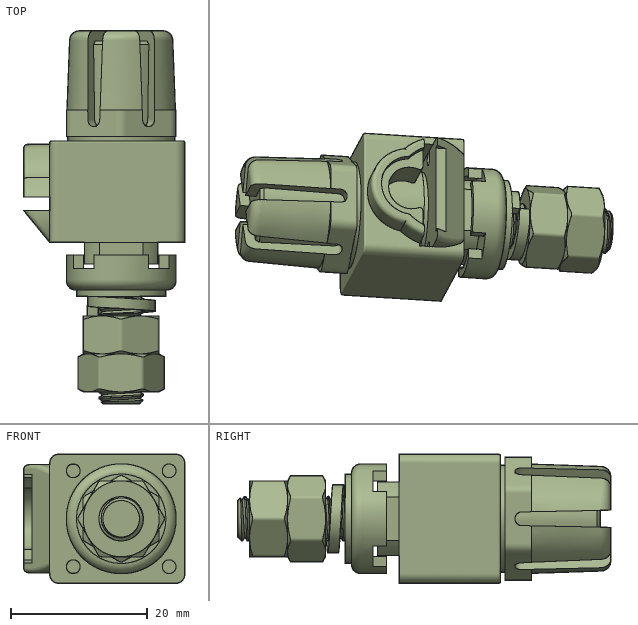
import cadquery as cq
import math


block_right = 9.3
block_left = -10.45
block_height = 18.9
block_length = 14.82
block_corner_radius = 1.35
block_front_fillet = 0.3
pin_hole_diameter = 2.0
pin_hole_offset = 7.0
pin_hole_depth = 6.0

spigot_diameter = 12.5
spigot_across_flats = 10.74
spigot_length = 3.15

guard_reach = 3.8
guard_left = block_left - guard_reach
hump_radius = 5.9
hump_y = 8.47
shoulder_radius = 7.95
shoulder_y = 4.05
guard_edge_fillet = 0.65
rim_width = 1.4
rim_recess_depth = 1.2
wedge_tip_y = 4.67
wedge_notch_height = 12.9
wire_slot_top_y = 6.62
wire_slot_height = 15.9
wire_hole_diameter = 6.45
wire_lip_fillet = 0.45

flange_bottom_y = 15.45
flange_top_y = 19.35
flange_across_flats = 16.0
flange_corner_radius = 1.55
cap_top_y = 30.93
cap_base_radius = 8.0
cap_top_radius = 7.6
cap_edge_fillet = 1.45
core_radius = 6.1
core_top_y = 29.4
core_chamfer = 0.5
grip_slot_count = 6
grip_slot_end_y = 16.93
grip_slot_end_radius = 1.0
grip_slot_mouth_width = 2.5
barrel_radius = 7.83
barrel_end_y = 5.44
neck_radius = 6.93

ring_front_y = -1.83
ring_rear_y = -6.98
ring_radius = 8.03
ring_rear_fillet = 1.43
ring_bore_radius = 6.8
ring_bore_end_y = -3.8
key_notch_offset = 4.0
washer_radius = 6.53
washer_thickness = 0.9
spring_outer_radius = 5.0
spring_inner_radius = 3.4
spring_thickness = 1.55
spring_height = 2.85
spring_split_z = 0.75
spring_end_overlap = 0.1
nut_across_flats = 11.1
nut_corner_radius = 0.6
nut_length = 5.55
nut_chamfer_angle = 30.0

stud_radius = 3.24
stud_tip_radius = 2.67
stud_rear_y = -23.57
thread_pitch = 0.9
thread_depth = 0.55
thread_overcut = 0.05
thread_groove_width = 0.75

washer_rear_y = ring_rear_y - washer_thickness
inner_nut_front_y = washer_rear_y - spring_height
outer_nut_front_y = inner_nut_front_y - nut_length
outer_nut_rear_y = outer_nut_front_y - nut_length


def y_cylinder(radius, y_start, y_end):
    """Cylinder on the post axis between two Y levels."""
    low = min(y_start, y_end)
    return cq.Workplane("XZ", origin=(0, low, 0)).circle(radius).extrude(-abs(y_end - y_start))


def y_hexagon(across_flats, corner_radius, y_low, length, corner_angle):
    """Hexagonal prism on the post axis, with rounded corners and one corner at corner_angle from X."""
    corner_diameter = across_flats / math.cos(math.pi / 6)
    return (
        cq.Workplane("XZ", origin=(0, y_low, 0))
        .transformed(rotate=(0, 0, corner_angle))
        .polygon(6, corner_diameter)
        .extrude(-length)
        .edges("|Y")
        .fillet(corner_radius)
    )


def box_between(x_limits, y_limits, z_limits):
    """Axis-aligned box given by its low and high limits."""
    size = [high - low for low, high in (x_limits, y_limits, z_limits)]
    corner = cq.Vector(x_limits[0], y_limits[0], z_limits[0])
    return cq.Workplane(cq.Solid.makeBox(*size, corner))


def x_cylinder(radius, y, x_start, length):
    """Cylinder parallel to X at height z = 0."""
    return cq.Workplane("YZ", origin=(x_start, y, 0)).circle(radius).extrude(length)


def make_block():
    width = block_right - block_left
    center_x = (block_right + block_left) / 2
    block = (
        cq.Workplane("XZ", origin=(center_x, 0, 0))
        .rect(width, block_height)
        .extrude(-block_length)
        .edges("|Y")
        .fillet(block_corner_radius)
        .faces(">Y")
        .edges()
        .fillet(block_front_fillet)
    )
    pin_holes = (
        cq.Workplane("XZ")
        .rect(2 * pin_hole_offset, 2 * pin_hole_offset, forConstruction=True)
        .vertices()
        .circle(pin_hole_diameter / 2)
        .extrude(-pin_hole_depth)
    )
    return block.cut(pin_holes)


def make_spigot():
    square = cq.Workplane("XZ").rect(spigot_across_flats, spigot_across_flats).extrude(spigot_length)
    return square.intersect(y_cylinder(spigot_diameter / 2, -spigot_length, 0))


def guard_disc(radius, y, length):
    """Disc facing left, with its outer face at the left end of the guard."""
    return x_cylinder(radius, y, guard_left, length)


def make_rim():
    """Part of the guard above the wire slot: hump and shoulder discs with a shared sunken face."""
    discs = [(hump_radius, hump_y), (shoulder_radius, shoulder_y)]
    rim = cq.Workplane()
    recess = cq.Workplane()
    for radius, y in discs:
        rim = rim.add(guard_disc(radius, y, guard_reach).faces("<X").edges().fillet(guard_edge_fillet))
        recess = recess.add(guard_disc(radius - rim_width, y, rim_recess_depth))
    above_slot = box_between(
        (guard_left, block_left), (wire_slot_top_y, block_length), (-shoulder_radius, shoulder_radius)
    )
    return rim.combine().intersect(above_slot).cut(recess.combine())


def make_wedge():
    """Shoulder disc behind the wire slot, cut off by a slope from its tip to the rear of the block."""
    slope_angle = math.atan2(guard_reach, wedge_tip_y)
    slope_direction = cq.Vector(-math.cos(slope_angle), -math.sin(slope_angle), 0)
    disc = x_cylinder(shoulder_radius, shoulder_y, guard_left - shoulder_radius, 4 * shoulder_radius)
    slope_cut = (
        cq.Workplane("XY")
        .transformed(offset=(block_left, 0, 0), rotate=(0, 0, 90 + math.degrees(slope_angle)))
        .center(0, 2 * shoulder_radius)
        .rect(8 * shoulder_radius, 4 * shoulder_radius)
        .extrude(shoulder_radius, both=True)
    )
    slope_face = cq.selectors.DirectionMinMaxSelector(slope_direction, True)
    wedge = disc.cut(slope_cut).faces(slope_face).edges().fillet(guard_edge_fillet)
    behind_slot = box_between(
        (guard_left, block_left), (0, wedge_tip_y), (-shoulder_radius, shoulder_radius)
    )
    notch = box_between(
        (guard_left, guard_left + rim_recess_depth),
        (0, wedge_tip_y),
        (-wedge_notch_height / 2, wedge_notch_height / 2),
    )
    return wedge.intersect(behind_slot).cut(notch)


def make_housing():
    housing = make_block().union(make_spigot()).union(make_rim()).union(make_wedge())
    wire_slot = box_between(
        (guard_left, 0), (wedge_tip_y, wire_slot_top_y), (-wire_slot_height / 2, wire_slot_height / 2)
    )
    wire_hole = x_cylinder(wire_hole_diameter / 2, hump_y, guard_left, -guard_left)
    housing = housing.cut(wire_slot).cut(wire_hole)
    lip_box = cq.selectors.BoxSelector(
        (guard_left, wire_slot_top_y - wire_lip_fillet, -wire_hole_diameter / 2),
        (0, wire_slot_top_y + wire_lip_fillet, wire_hole_diameter / 2),
    )
    housing = housing.edges("|X").edges(lip_box).fillet(wire_lip_fillet)
    housing = housing.cut(y_cylinder(barrel_radius, barrel_end_y, block_length))
    housing = housing.cut(y_cylinder(neck_radius, wedge_tip_y, barrel_end_y))
    return housing.cut(y_cylinder(stud_radius, -spigot_length, wedge_tip_y))


def make_grip_slots():
    """Six tapered slots with round ends, reaching in as far as the chamfered core."""
    reach = 2 * cap_base_radius
    round_center_y = grip_slot_end_y + grip_slot_end_radius
    slot = (
        cq.Workplane("YZ")
        .moveTo(cap_top_y, grip_slot_mouth_width / 2)
        .lineTo(round_center_y, grip_slot_end_radius)
        .threePointArc((grip_slot_end_y, 0), (round_center_y, -grip_slot_end_radius))
        .lineTo(cap_top_y, -grip_slot_mouth_width / 2)
        .close()
        .extrude(reach)
    )
    slots = cq.Workplane()
    for index in range(grip_slot_count):
        slots = slots.add(slot.rotate((0, 0, 0), (0, 1, 0), index * 360 / grip_slot_count))
    core = y_cylinder(core_radius, grip_slot_end_y, core_top_y).faces(">Y").chamfer(core_chamfer)
    return slots.combine().cut(core)


def make_cap():
    flange = y_hexagon(
        flange_across_flats, flange_corner_radius, flange_bottom_y, flange_top_y - flange_bottom_y, 90
    )
    grip = (
        cq.Workplane("XY")
        .moveTo(0, flange_top_y)
        .lineTo(cap_base_radius, flange_top_y)
        .lineTo(cap_top_radius, cap_top_y)
        .lineTo(0, cap_top_y)
        .close()
        .revolve(360, (0, 0), (0, 1))
        .faces(">Y")
        .edges()
        .fillet(cap_edge_fillet)
    )
    cap = flange.union(grip).cut(make_grip_slots())
    cap = cap.union(y_cylinder(barrel_radius, barrel_end_y, flange_bottom_y))
    return cap.union(y_cylinder(neck_radius, wedge_tip_y, barrel_end_y))


def make_ring():
    ring = (
        y_cylinder(ring_radius, ring_rear_y, ring_front_y).faces("<Y").edges().fillet(ring_rear_fillet)
    )
    ring = ring.cut(y_cylinder(ring_bore_radius, ring_bore_end_y, ring_front_y))
    outer_span = (key_notch_offset, ring_radius)
    notch = box_between(outer_span, (ring_bore_end_y, ring_front_y), outer_span)
    for angle in range(0, 360, 90):
        ring = ring.cut(notch.rotate((0, 0, 0), (0, 1, 0), angle))
    return ring


def make_spring_washer():
    """One helical turn of rectangular section, split on the left side."""
    rise = spring_height - spring_thickness + 2 * spring_end_overlap
    middle_radius = (spring_outer_radius + spring_inner_radius) / 2
    helix = cq.Wire.makeHelix(rise, rise, middle_radius, lefthand=True)
    coil = (
        cq.Workplane("XZ", origin=(middle_radius, 0, 0))
        .rect(spring_outer_radius - spring_inner_radius, spring_thickness)
        .sweep(cq.Workplane(helix), isFrenet=True)
    )
    split_angle = 180 + math.degrees(math.asin(spring_split_z / middle_radius))
    start_y = washer_rear_y + spring_end_overlap - spring_thickness / 2
    coil = coil.rotate((0, 0, 0), (1, 0, 0), 90).rotate((0, 0, 0), (0, 1, 0), split_angle)
    return coil.translate((0, start_y, 0))


def make_nut(front_y, corner_angle):
    prism = y_hexagon(nut_across_flats, nut_corner_radius, front_y - nut_length, nut_length, corner_angle)
    flat_radius = nut_across_flats / 2
    corner_radius = flat_radius / math.cos(math.pi / 6)
    chamfer_length = (corner_radius - flat_radius) * math.tan(math.radians(nut_chamfer_angle))
    envelope = (
        y_cylinder(corner_radius, front_y - nut_length, front_y)
        .faces("<Y or >Y")
        .edges()
        .chamfer(chamfer_length, corner_radius - flat_radius)
    )
    return prism.intersect(envelope)


def cut_thread(rod, y_low, y_high):
    """Rod with a helical V groove cut from y_low to y_high and run out past both."""
    helix = cq.Wire.makeHelix(thread_pitch, y_high - y_low + 2 * thread_pitch, stud_radius)
    groove = (
        cq.Workplane("XZ", origin=(stud_radius, 0, 0))
        .moveTo(-thread_depth, 0)
        .lineTo(thread_overcut, thread_groove_width / 2)
        .lineTo(thread_overcut, -thread_groove_width / 2)
        .close()
        .sweep(cq.Workplane(helix), isFrenet=True)
        .rotate((0, 0, 0), (1, 0, 0), 90)
        .translate((0, y_high + thread_pitch, 0))
    )
    return rod.cut(groove)


def make_terminal():
    """Ring, washers, nuts and stud in one; the thread is cut only where the stud stands clear."""
    terminal = make_ring()
    terminal = terminal.union(y_cylinder(washer_radius, washer_rear_y, ring_rear_y))
    terminal = terminal.union(make_spring_washer())
    terminal = terminal.union(make_nut(inner_nut_front_y, 90))
    terminal = terminal.union(make_nut(outer_nut_front_y, 0))
    terminal = terminal.union(y_cylinder(stud_radius, ring_rear_y, wedge_tip_y))

    gap_rod = y_cylinder(stud_radius, inner_nut_front_y, washer_rear_y)
    terminal = terminal.union(cut_thread(gap_rod, inner_nut_front_y, washer_rear_y))
    tip_rod = y_cylinder(stud_radius, stud_rear_y, outer_nut_rear_y)
    tip_rod = tip_rod.faces("<Y").chamfer(stud_radius - stud_tip_radius)
    return terminal.union(cut_thread(tip_rod, stud_rear_y, outer_nut_rear_y))


housing = make_housing().solids()
cap = make_cap().solids()
terminal = make_terminal().solids()
result = cq.Compound.makeCompound([housing.val(), cap.val(), terminal.val()])